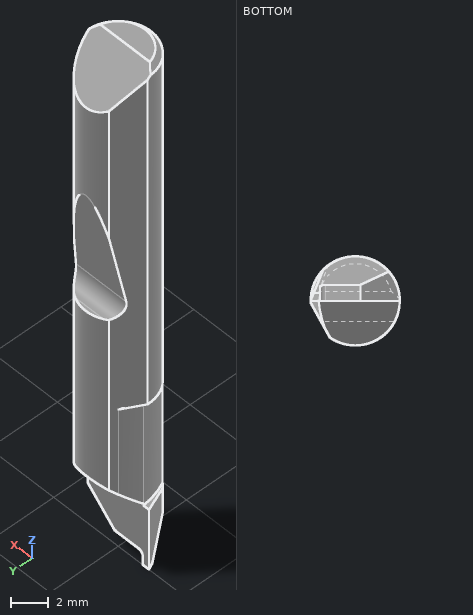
import cadquery as cq
import math

SHANK_DIAMETER = 4.76
SHANK_RADIUS = SHANK_DIAMETER / 2
LENGTH = 38.1
TOP_CHAMFER = 0.4

TOP_BEVEL_EDGE_Y = -0.5

FLAT_DIRECTION = 151
FLAT_DISTANCE = 2.13

NOTCH_FLOOR_Z = 19.67
NOTCH_TOP_Z = 28.5
NOTCH_SLOPE = 9.3
NOTCH_CORNER_RADIUS = 1.0

RELIEF_BOTTOM_Z = 4.57
RELIEF_TOP_Z = 12.7
RELIEF_X = -1.95
RELIEF_RADIUS = 5.5
RELIEF_TILT = 5

RAKE_BEVEL_Z = 4.7
FRONT_CLEARANCE = 25
SIDE_CLEARANCE = 22
TIP_CLEARANCE = 10
TIP_LAND = 0.39
TOOTH_WIDTH = 0.5
TOOTH_HEIGHT = 1.0
TOOTH_CORNER_RADIUS = 0.3
END_BEVEL_START_X = 0.28

CLEAR = 2 * SHANK_DIAMETER


def cutter_along_x(points):
    """Prism through the whole bar from an outline of (Y, Z) points."""
    return cq.Workplane("YZ").polyline(points).close().extrude(CLEAR, both=True)


def cutter_along_y(points):
    """Prism through the whole bar from an outline of (X, Z) points."""
    return cq.Workplane("XZ").polyline(points).close().extrude(CLEAR, both=True)


def shank():
    bar = cq.Workplane("XY").circle(SHANK_RADIUS).extrude(LENGTH)
    return bar.faces(">Z").chamfer(TOP_CHAMFER)


def top_bevel():
    return cutter_along_x([
        (TOP_BEVEL_EDGE_Y, LENGTH),
        (TOP_BEVEL_EDGE_Y + CLEAR, LENGTH - CLEAR),
        (TOP_BEVEL_EDGE_Y + CLEAR, LENGTH),
    ])


def side_flat():
    slab = cq.Workplane("XY").box(CLEAR, CLEAR, LENGTH, centered=(False, True, False))
    slab = slab.translate((FLAT_DISTANCE, 0, 0))
    return slab.rotate((0, 0, 0), (0, 0, 1), FLAT_DIRECTION)


def clamping_notch():
    depth = (NOTCH_TOP_Z - NOTCH_FLOOR_Z) * math.tan(math.radians(NOTCH_SLOPE))
    notch = cutter_along_x([
        (SHANK_RADIUS, NOTCH_TOP_Z),
        (SHANK_RADIUS - depth, NOTCH_FLOOR_Z),
        (SHANK_RADIUS, NOTCH_FLOOR_Z),
    ])
    return notch.edges("|X").edges("<Y").fillet(NOTCH_CORNER_RADIUS)


def neck_relief():
    """Leaves two shallow arcs that meet in a ridge at Y = 0 on the tooth side of the neck."""
    tilt = math.radians(RELIEF_TILT)
    center_x = RELIEF_X + RELIEF_RADIUS * math.cos(tilt)
    center_y = RELIEF_RADIUS * math.sin(tilt)
    height = RELIEF_TOP_Z - RELIEF_BOTTOM_Z
    base = cq.Workplane("XY").workplane(offset=RELIEF_BOTTOM_Z)
    side = base.center(-CLEAR / 2, 0).rect(CLEAR, CLEAR).extrude(height)
    back_arc = base.center(center_x, -center_y).circle(RELIEF_RADIUS).extrude(height)
    front_arc = base.center(center_x, center_y).circle(RELIEF_RADIUS).extrude(height)
    return side.cut(back_arc.intersect(front_arc))


def rake_cut():
    return cutter_along_x([
        (0, -CLEAR),
        (0, RAKE_BEVEL_Z),
        (CLEAR, RAKE_BEVEL_Z + CLEAR),
        (CLEAR, -CLEAR),
    ])


def front_clearance():
    rise = CLEAR / math.tan(math.radians(FRONT_CLEARANCE))
    return cutter_along_x([
        (-TIP_LAND, 0),
        (-TIP_LAND - CLEAR, rise),
        (-TIP_LAND - CLEAR, 0),
    ])


def tip_clearance():
    rise = CLEAR * math.tan(math.radians(TIP_CLEARANCE))
    return cutter_along_x([(0, 0), (-CLEAR, rise), (-CLEAR, 0)])


def side_clearance():
    run = CLEAR * math.tan(math.radians(SIDE_CLEARANCE))
    outline = [
        (-SHANK_RADIUS, 0),
        (-SHANK_RADIUS + run, -CLEAR),
        (-SHANK_RADIUS, -CLEAR),
    ]
    return cq.Workplane("XY").polyline(outline).close().extrude(RELIEF_BOTTOM_Z)


def end_profile():
    """Clears the end beside the tooth, leaving the tooth and a 45 degree corner bevel."""
    tooth_x = -SHANK_RADIUS + TOOTH_WIDTH
    cutter = cutter_along_y([
        (tooth_x, 0),
        (tooth_x, TOOTH_HEIGHT),
        (END_BEVEL_START_X, TOOTH_HEIGHT),
        (END_BEVEL_START_X + CLEAR, TOOTH_HEIGHT + CLEAR),
        (END_BEVEL_START_X + CLEAR, 0),
    ])
    corner = cq.selectors.NearestToPointSelector((tooth_x, 0, TOOTH_HEIGHT))
    return cutter.edges("|Y").edges(corner).fillet(TOOTH_CORNER_RADIUS)


result = shank()
result = result.cut(top_bevel())
result = result.cut(side_flat())
result = result.cut(clamping_notch())
result = result.cut(neck_relief())
result = result.cut(rake_cut())
result = result.cut(front_clearance())
result = result.cut(tip_clearance())
result = result.cut(side_clearance())
result = result.cut(end_profile())